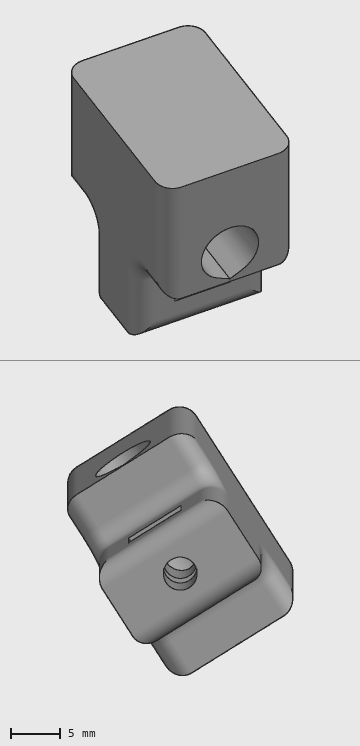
import cadquery as cq
import math

head_width = 21.7
depth = 15.0
height = 25.0
stem_width = 9.7
stem_height = 10.0
round_radius = 2.0

hole_diameter = 6.5
hole_center_z = 13.98
tip_drop = 3.62

screw_hole_diameter = 3.4

slot_width = 6.25
slot_height = 2.5
slot_bottom_z = 3.92


def t_shaped_body():
    """Wide head on a narrow stem, before any rounding."""
    head_height = height - stem_height
    head = cq.Workplane("XY").workplane(offset=stem_height).rect(head_width, depth).extrude(head_height)
    stem = cq.Workplane("XY").rect(stem_width, depth).extrude(stem_height)
    return head.union(stem)


def at_stem_side(edge):
    return math.isclose(abs(edge.Center().x), stem_width / 2)


def round_body(body):
    """Round the inner corners, then the front and back outline, and the stem foot."""
    inner_corners = body.edges("|Y").filter(
        lambda edge: at_stem_side(edge) and math.isclose(edge.Center().z, stem_height)
    )
    body = inner_corners.fillet(round_radius)
    outline = body.faces("<Y or >Y").edges().filter(lambda edge: 0 < edge.Center().z < height)
    foot = body.faces("<Z").edges("|Y")
    return outline.add(foot).fillet(round_radius)


def teardrop_cutter():
    """Round bore with a point below it, its flanks tangent to the circle."""
    radius = hole_diameter / 2
    tangent_angle = math.acos(radius / tip_drop)
    tangent_y = radius * math.sin(tangent_angle)
    tangent_z = hole_center_z - radius * math.cos(tangent_angle)
    tip_z = hole_center_z - tip_drop
    return (
        cq.Workplane("YZ")
        .moveTo(0, tip_z)
        .lineTo(tangent_y, tangent_z)
        .threePointArc((0, hole_center_z + radius), (-tangent_y, tangent_z))
        .close()
        .extrude(head_width / 2, both=True)
    )


def slot_cutter():
    slot_center_z = slot_bottom_z + slot_height / 2
    return (
        cq.Workplane("YZ")
        .center(0, slot_center_z)
        .rect(slot_width, slot_height)
        .extrude(head_width / 2, both=True)
    )


def screw_hole_cutter():
    return cq.Workplane("XY").circle(screw_hole_diameter / 2).extrude(hole_center_z)


result = (
    round_body(t_shaped_body())
    .cut(teardrop_cutter())
    .cut(slot_cutter())
    .cut(screw_hole_cutter())
)